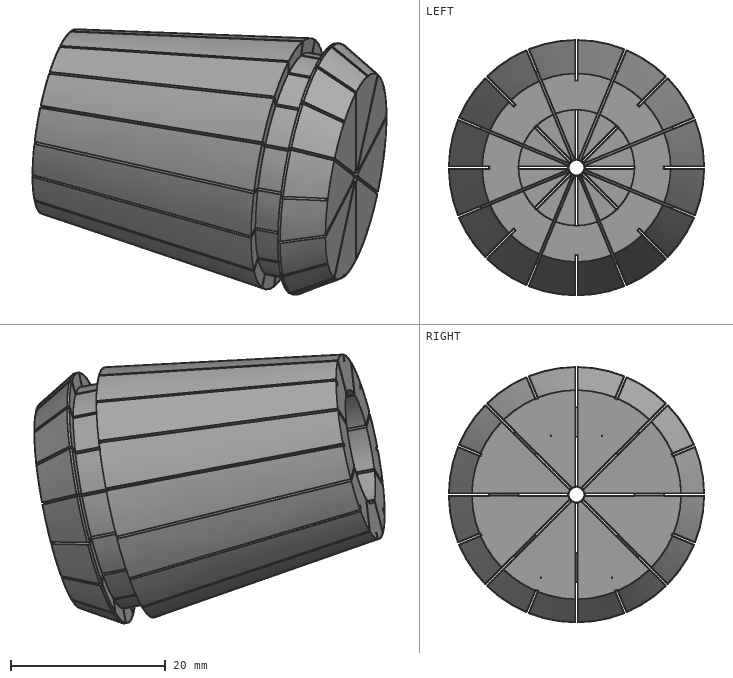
import cadquery as cq
import math

length = 40.0
max_radius = 16.5

taper_length = 30.9
taper_half_angle = 8.0
groove_width = 3.6
groove_radius = 14.6
head_land = 0.3
head_half_angle = 30.0
head_start = taper_length + groove_width
cone_start = head_start + head_land
small_end_radius = max_radius - taper_length * math.tan(math.radians(taper_half_angle))
head_end_radius = max_radius - (length - cone_start) * math.tan(math.radians(head_half_angle))

hole_radius = 1.0
relief_radius = 7.5
relief_depth = 20.0

slit_pairs = 8
slit_width = 0.3
saw_radius = 40.0
slit_reach = max_radius + 0.4

small_end_floor_radius = 11.3
small_end_floor_lowest = 0.4
head_floor_radius = 13.45
head_floor_lowest = -3.0


def make_body():
    profile = [
        (0, relief_radius),
        (0, small_end_radius),
        (taper_length, max_radius),
        (taper_length, groove_radius),
        (head_start, groove_radius),
        (head_start, max_radius),
        (cone_start, max_radius),
        (length, head_end_radius),
        (length, hole_radius),
        (relief_depth, hole_radius),
        (relief_depth, relief_radius),
    ]
    return cq.Workplane("XY").polyline(profile).close().revolve(360, (0, 0, 0), (1, 0, 0))


def make_slit(open_end, bridged_end, floor_radius, floor_lowest):
    """Thin plate along +Z, its flat floor turning into the saw's arc and rising to the bridged end."""
    towards_bridge = math.copysign(1, bridged_end - open_end)
    saw_centre_radius = floor_lowest + saw_radius
    face_angle = math.acos((saw_centre_radius - floor_radius) / saw_radius)
    saw_centre_x = bridged_end - towards_bridge * saw_radius * math.sin(face_angle)

    def floor_point(angle):
        x = saw_centre_x + towards_bridge * saw_radius * math.sin(angle)
        return (x, saw_centre_radius - saw_radius * math.cos(angle))

    return (
        cq.Workplane("XZ")
        .moveTo(open_end, floor_lowest)
        .lineTo(*floor_point(0))
        .threePointArc(floor_point(face_angle / 2), floor_point(face_angle))
        .lineTo(bridged_end, slit_reach)
        .lineTo(open_end, slit_reach)
        .close()
        .extrude(slit_width / 2, both=True)
    )


small_end_bridged_slit = make_slit(length, 0, small_end_floor_radius, small_end_floor_lowest)
head_bridged_slit = make_slit(0, length, head_floor_radius, head_floor_lowest)

pair_angle = 360 / slit_pairs
result = make_body()
for index in range(slit_pairs):
    angle = index * pair_angle
    result = result.cut(small_end_bridged_slit.rotate((0, 0, 0), (1, 0, 0), angle))
    result = result.cut(head_bridged_slit.rotate((0, 0, 0), (1, 0, 0), angle + pair_angle / 2))